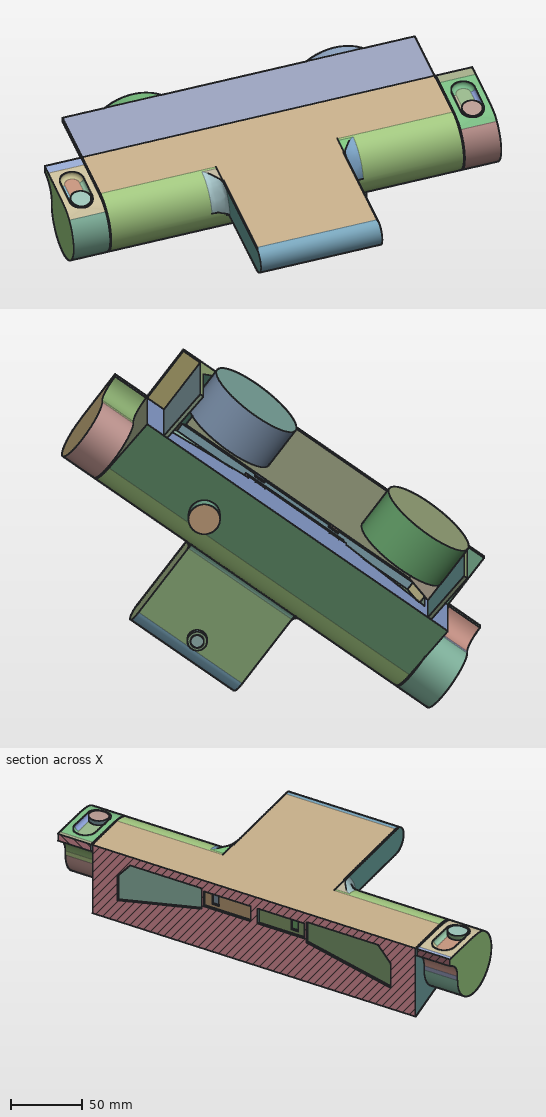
import cadquery as cq
import math


BARREL_RADIUS = 24.0
BARREL_X = 93.0
BARREL_Z = -BARREL_RADIUS
HOUSING_BACK = 53.5
HOUSING_HALF = 130.7
UNDERSIDE_ANGLE = math.radians(15)

SPOUT_THICKNESS = 21.0
SPOUT_HALF = 45.0
SPOUT_TIP = 191.5
SPOUT_CHAMFER = 0.5
SPOUT_CHAMFER_START = 108.0
COLLAR_TOP = -0.05
COLLAR_RISE = 7.0
COLLAR_LENGTH = 11.0
UNDER_FILLET = 5.0
NOZZLE_X = 173.2
NOZZLE_DIAMETER = 14.0
NOZZLE_LENGTH = 4.0
NOZZLE_TIP_DIAMETER = 9.5
NOZZLE_TIP_LENGTH = 1.0

CONNECTOR_X = 85.5
CONNECTOR_Y = 57.7
NECK_DIAMETER = 18.0
CONNECTOR_DIAMETER = 22.2
CONNECTOR_TOP = -56.0
CONNECTOR_BOTTOM = -65.0

POCKET_TOP = -7.5
POCKET_DEPTH = 6.5
SIDE_POCKET_INNER = 42.5
SIDE_POCKET_OUTER = 110.5
SIDE_POCKET_INNER_BOTTOM = -24.7
SIDE_POCKET_OUTER_BOTTOM = -40.3
MIDDLE_POCKET_BOTTOM = -22.0
MIDDLE_POCKET_BORDER = 2.0
MIDDLE_STEP_DEPTH = 3.2
POST_DIAMETER = 6.7
NOTCH_Y = 32.0
NOTCH_WIDTH = 8.2
NOTCH_BOTTOM = -22.8
NOTCH_DEPTH = 1.5
NOTCH_CORE_WIDTH = 5.5
NOTCH_CORE_BOTTOM = -19.0

COVER_BACK = 10.5
SHELF_THICKNESS = 3.8
SIDE_PLATE_OUTER = 116.0
SIDE_PLATE_THICKNESS = 3.0
GUSSET_WIDTH = 16.2
GUSSET_HEIGHT = 19.7
ROSETTE_DIAMETER = 69.8
ROSETTE_LENGTH = 32.5
ROSETTE_Y = 75.0
ROSETTE_Z = -38

HANDLE_END = 158.5
HANDLE_GAP = 1.0
LIP_THICKNESS = 5.5
CROWN_BACK = 61.2
CROWN_FRONT = 107.2
SLOT_WIDTH = 17.0
SLOT_DEPTH = 3.8
SLOT_BACK_CENTRE = 73.5
SLOT_FLOOR_FILLET = 3.2
BUTTON_DIAMETER = 14.5

TANGENT_X = BARREL_X + BARREL_RADIUS * math.sin(UNDERSIDE_ANGLE)
TANGENT_Z = BARREL_Z - BARREL_RADIUS * math.cos(UNDERSIDE_ANGLE)
BARREL_FRONT = BARREL_X + BARREL_RADIUS
BARREL_BOTTOM = BARREL_Z - BARREL_RADIUS
SIDE_PLATE_INNER = SIDE_PLATE_OUTER - SIDE_PLATE_THICKNESS
HANDLE_LENGTH = HANDLE_END - HOUSING_HALF - HANDLE_GAP


def underside_z(x):
    """Height of the sloping underside, which is tangent to the barrel."""
    return TANGENT_Z + (x - TANGENT_X) * math.tan(UNDERSIDE_ANGLE)


def block(x_range, y_range, z_range):
    """Box between the given pairs of limits."""
    sizes = [high - low for low, high in (x_range, y_range, z_range)]
    corner = (x_range[0], y_range[0], z_range[0])
    return cq.Workplane("XY").box(*sizes, centered=False).translate(corner)


def upright_rod(x, y, diameter, bottom, top):
    """Vertical cylinder between two heights."""
    return cq.Workplane("XY", origin=(x, y, bottom)).circle(diameter / 2).extrude(top - bottom)


def both_sides(shape):
    """The shape together with its mirror image across the middle of the mixer."""
    return shape.union(shape.mirror("XZ"))


def extrude_along_y(profile, half_length):
    """Extrude an XZ profile equally to both sides of Y = 0."""
    return profile.extrude(half_length, both=True)


def housing_barrel():
    profile = (
        cq.Workplane("XZ")
        .moveTo(HOUSING_BACK, 0)
        .lineTo(BARREL_X, 0)
        .threePointArc((BARREL_FRONT, BARREL_Z), (TANGENT_X, TANGENT_Z))
        .lineTo(HOUSING_BACK, underside_z(HOUSING_BACK))
        .close()
    )
    return extrude_along_y(profile, HOUSING_HALF)


def spout():
    tip_radius = SPOUT_THICKNESS / 2
    profile = (
        cq.Workplane("XZ")
        .moveTo(BARREL_X, 0)
        .lineTo(SPOUT_TIP - tip_radius, 0)
        .threePointArc((SPOUT_TIP, -tip_radius), (SPOUT_TIP - tip_radius, -SPOUT_THICKNESS))
        .lineTo(BARREL_X, -SPOUT_THICKNESS)
        .close()
    )
    return extrude_along_y(profile, SPOUT_HALF).cut(both_sides(spout_chamfer()))


def spout_chamfer():
    """Wedge that breaks one long top edge of the spout."""
    outline = [(SPOUT_HALF - SPOUT_CHAMFER, 0), (SPOUT_HALF, 0), (SPOUT_HALF, -SPOUT_CHAMFER)]
    wedge = cq.Workplane("YZ", origin=(SPOUT_CHAMFER_START, 0, 0)).polyline(outline).close()
    return wedge.extrude(SPOUT_TIP - SPOUT_CHAMFER_START)


def spout_under_fillet():
    """Concave fillet between the barrel and the underside of the spout."""
    centre_z = -SPOUT_THICKNESS - UNDER_FILLET
    reach = BARREL_RADIUS + UNDER_FILLET
    rise = centre_z - BARREL_Z
    run = math.sqrt(reach**2 - rise**2)
    centre_x = BARREL_X + run
    touch_x = BARREL_X + run * BARREL_RADIUS / reach
    touch_z = BARREL_Z + rise * BARREL_RADIUS / reach
    diagonal = UNDER_FILLET / math.sqrt(2)
    profile = (
        cq.Workplane("XZ")
        .moveTo(BARREL_X, -SPOUT_THICKNESS)
        .lineTo(centre_x, -SPOUT_THICKNESS)
        .threePointArc((centre_x - diagonal, centre_z + diagonal), (touch_x, touch_z))
        .lineTo(BARREL_X, touch_z)
        .close()
    )
    return extrude_along_y(profile, SPOUT_HALF)


def spout_collar():
    """Concave blend from the barrel to one side of the spout, longer than it is high."""
    collar_end = SPOUT_HALF + COLLAR_LENGTH
    diagonal = 1 - 1 / math.sqrt(2)
    middle = (SPOUT_HALF + COLLAR_LENGTH * diagonal, BARREL_RADIUS + COLLAR_RISE * diagonal)
    quarter_ring = (
        cq.Workplane("YZ", origin=(BARREL_X, 0, BARREL_Z))
        .moveTo(SPOUT_HALF, 0)
        .lineTo(collar_end, 0)
        .lineTo(collar_end, BARREL_RADIUS)
        .spline(
            [middle, (SPOUT_HALF, BARREL_RADIUS + COLLAR_RISE)],
            tangents=[(-1, 0), (0, 1)],
            includeCurrent=True,
        )
        .close()
        .revolve(90, (0, 0, 0), (1, 0, 0))
    )
    return quarter_ring.intersect(
        block((HOUSING_BACK, SPOUT_TIP), (0, HOUSING_HALF), (-SPOUT_THICKNESS, COLLAR_TOP))
    )


def nozzle():
    nozzle_bottom = -SPOUT_THICKNESS - NOZZLE_LENGTH
    outer = upright_rod(NOZZLE_X, 0, NOZZLE_DIAMETER, nozzle_bottom, -SPOUT_THICKNESS)
    tip = upright_rod(NOZZLE_X, 0, NOZZLE_TIP_DIAMETER, nozzle_bottom - NOZZLE_TIP_LENGTH, nozzle_bottom)
    return outer.union(tip)


def hose_connector():
    neck = upright_rod(CONNECTOR_X, CONNECTOR_Y, NECK_DIAMETER, CONNECTOR_TOP, BARREL_Z)
    flange = upright_rod(CONNECTOR_X, CONNECTOR_Y, CONNECTOR_DIAMETER, CONNECTOR_BOTTOM, CONNECTOR_TOP)
    return neck.union(flange)


def back_pocket(y_range, z_range, depth):
    """Rectangular pocket in the back face of the housing."""
    return block((HOUSING_BACK, HOUSING_BACK + depth), y_range, z_range)


def side_pocket():
    """Pocket behind one rosette, its outer top corner cut along the cover gusset."""
    gusset_slope = GUSSET_HEIGHT / GUSSET_WIDTH
    corner_y = SIDE_PLATE_INNER - GUSSET_WIDTH - (SHELF_THICKNESS + POCKET_TOP) / gusset_slope
    corner_z = -SHELF_THICKNESS - GUSSET_HEIGHT + (SIDE_PLATE_INNER - SIDE_POCKET_OUTER) * gusset_slope
    outline = [
        (SIDE_POCKET_INNER, POCKET_TOP),
        (corner_y, POCKET_TOP),
        (SIDE_POCKET_OUTER, corner_z),
        (SIDE_POCKET_OUTER, SIDE_POCKET_OUTER_BOTTOM),
        (SIDE_POCKET_INNER, SIDE_POCKET_INNER_BOTTOM),
    ]
    return cq.Workplane("YZ", origin=(HOUSING_BACK, 0, 0)).polyline(outline).close().extrude(POCKET_DEPTH)


def middle_pocket():
    """Stepped pocket between the side pockets, with a post left standing in its middle."""
    outer_half = SIDE_POCKET_INNER
    inner_half = outer_half - MIDDLE_POCKET_BORDER
    inner_top = POCKET_TOP - MIDDLE_POCKET_BORDER
    step = back_pocket((-outer_half, outer_half), (MIDDLE_POCKET_BOTTOM, POCKET_TOP), MIDDLE_STEP_DEPTH)
    core = back_pocket((-inner_half, inner_half), (MIDDLE_POCKET_BOTTOM, inner_top), POCKET_DEPTH)
    post_x = HOUSING_BACK + POCKET_DEPTH
    post = upright_rod(post_x, 0, POST_DIAMETER, MIDDLE_POCKET_BOTTOM, inner_top)
    return step.union(core).cut(post)


def clip_notch():
    """Shallow notch across the middle pocket, with a narrower and deeper core."""
    def limits(width):
        return (NOTCH_Y - width / 2, NOTCH_Y + width / 2)

    shallow = back_pocket(limits(NOTCH_WIDTH), (NOTCH_BOTTOM, -SHELF_THICKNESS), NOTCH_DEPTH)
    core_depth = POCKET_DEPTH + NOTCH_DEPTH
    core_top = POCKET_TOP - MIDDLE_POCKET_BORDER
    core = back_pocket(limits(NOTCH_CORE_WIDTH), (NOTCH_CORE_BOTTOM, core_top), core_depth)
    return shallow.union(core)


def make_housing():
    body = housing_barrel()
    for feature in (spout(), spout_under_fillet(), both_sides(spout_collar()), nozzle(), hose_connector()):
        body = body.union(feature)
    for pocket in (both_sides(side_pocket()), middle_pocket(), both_sides(clip_notch())):
        body = body.cut(pocket)
    return body


def side_plate():
    profile = (
        cq.Workplane("XZ", origin=(0, SIDE_PLATE_OUTER, 0))
        .moveTo(COVER_BACK, -SHELF_THICKNESS)
        .lineTo(HOUSING_BACK, -SHELF_THICKNESS)
        .lineTo(HOUSING_BACK, underside_z(HOUSING_BACK))
        .lineTo(COVER_BACK, underside_z(COVER_BACK))
        .close()
    )
    return profile.extrude(SIDE_PLATE_THICKNESS)


def gusset():
    """Triangular rib in the corner between the shelf and one side plate."""
    outline = [
        (SIDE_PLATE_INNER, -SHELF_THICKNESS),
        (SIDE_PLATE_INNER - GUSSET_WIDTH, -SHELF_THICKNESS),
        (SIDE_PLATE_INNER, -SHELF_THICKNESS - GUSSET_HEIGHT),
    ]
    rib = cq.Workplane("YZ", origin=(COVER_BACK, 0, 0)).polyline(outline).close()
    return rib.extrude(HOUSING_BACK - COVER_BACK)


def rosette():
    disc = cq.Workplane("YZ", origin=(0, ROSETTE_Y, ROSETTE_Z)).circle(ROSETTE_DIAMETER / 2)
    return disc.extrude(ROSETTE_LENGTH)


def make_cover():
    shelf = block((COVER_BACK, HOUSING_BACK), (-HOUSING_HALF, HOUSING_HALF), (-SHELF_THICKNESS, 0))
    for feature in (side_plate(), gusset(), rosette()):
        shelf = shelf.union(both_sides(feature))
    return shelf


def handle_profile(start_y):
    """Barrel section with a crowned top and a lip at the back above a concave quarter round."""
    crown_run = CROWN_FRONT - BARREL_X
    crown_rise = math.sqrt(BARREL_RADIUS**2 - crown_run**2)
    crown_end = (CROWN_FRONT, BARREL_Z + crown_rise)
    tangent_meets_top = (BARREL_X + BARREL_RADIUS * (BARREL_RADIUS - crown_rise) / crown_run, 0)
    waist_x = BARREL_X - BARREL_RADIUS
    lip_radius = waist_x - HOUSING_BACK
    diagonal = lip_radius / math.sqrt(2)
    round_end_z = -LIP_THICKNESS - lip_radius
    return (
        cq.Workplane("XZ", origin=(0, start_y, 0))
        .moveTo(HOUSING_BACK, 0)
        .lineTo(CROWN_BACK, 0)
        .bezier([(BARREL_X, 0), tangent_meets_top, crown_end], includeCurrent=True)
        .threePointArc((BARREL_FRONT, BARREL_Z), (BARREL_X, BARREL_BOTTOM))
        .threePointArc(
            (BARREL_X - BARREL_RADIUS / math.sqrt(2), BARREL_Z - BARREL_RADIUS / math.sqrt(2)),
            (waist_x, BARREL_Z),
        )
        .lineTo(waist_x, round_end_z)
        .threePointArc(
            (HOUSING_BACK + diagonal, round_end_z + diagonal),
            (HOUSING_BACK, -LIP_THICKNESS),
        )
        .close()
    )


def button_slot(middle_y):
    """Round-ended slot with a rounded floor edge, around the button at its front end."""
    slot_middle = (SLOT_BACK_CENTRE + BARREL_X) / 2
    slot_length = BARREL_X - SLOT_BACK_CENTRE + SLOT_WIDTH
    slot = (
        cq.Workplane("XY", origin=(slot_middle, middle_y, -SLOT_DEPTH))
        .slot2D(slot_length, SLOT_WIDTH)
        .extrude(2 * SLOT_DEPTH)
        .faces("<Z")
        .edges()
        .fillet(SLOT_FLOOR_FILLET)
    )
    return slot.cut(upright_rod(BARREL_X, middle_y, BUTTON_DIAMETER, -SLOT_DEPTH, SLOT_DEPTH))


def make_handle(side):
    """Handle at the +Y end (side = 1) or the -Y end (side = -1)."""
    middle_y = side * (HANDLE_END - HANDLE_LENGTH / 2)
    body = handle_profile(middle_y + HANDLE_LENGTH / 2).extrude(HANDLE_LENGTH)
    return body.cut(button_slot(middle_y))


housing = make_housing()
cover = make_cover()
handles = [make_handle(side) for side in (-1, 1)]

result = cq.Compound.makeCompound([housing.val(), cover.val(), *[handle.val() for handle in handles]])